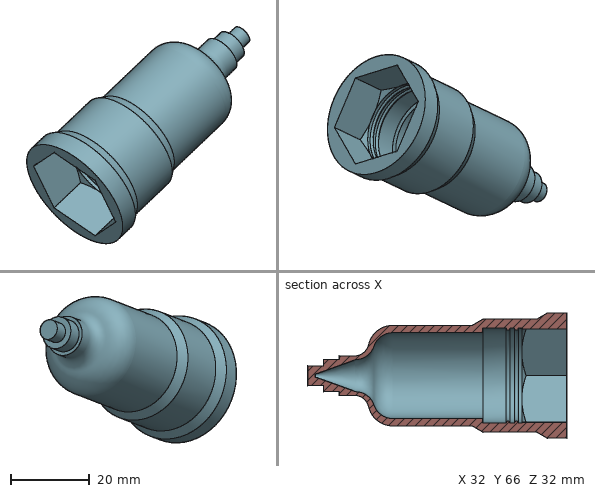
import cadquery as cq
import math


total_length = 66.0
flange_diameter = 32.0
flange_radius = flange_diameter / 2
flange_length = 5.0
collar_radius = 14.45
collar_start = 7.65
collar_end = 21.4
body_radius = 12.9
body_start = 24.1
shoulder_start = 44.3
shoulder_radius = 6.4
neck_fillet = 3.6
nose_radius = 5.1
nose_step = 4.0
middle_pin_radius = 4.15
end_pin_radius = 2.6

hex_across_flats = 23.7
hex_corner_radius = hex_across_flats / 2 / math.cos(math.pi / 6)
hex_corner_depth = 10.4
hex_end_slope = math.tan(math.radians(30))

bore_radius = 12.0
bore_end = collar_end
bead_radius = 0.495
bead_gap = 1.0
bead_pitch = 2.1
bead_count = 2

tip_wall = 2.0
cavity_radius = 10.9
cavity_arc_radius = 5.0
cone_radius = 4.0
tip_radius = 0.3
tip_depth = total_length - tip_wall


def turn_about_axis(profile):
    """Revolve a closed (radius, y) profile a full turn about the Y axis."""
    return profile.revolve(360, (0, 0, 0), (0, 1, 0))


def s_curve(start_y, start_radius, end_radius, bulge, hollow):
    """Convex arc then concave arc, tangent to each other and to two cylinders.

    Returns the mid point and end point of each arc as (radius, y) pairs.
    """
    convex_r = start_radius - bulge
    concave_r = end_radius + hollow
    offset = convex_r - concave_r
    rise = math.sqrt((bulge + hollow) ** 2 - offset**2)
    turn = math.atan2(rise, -offset)

    def convex_point(angle):
        return (convex_r + bulge * math.cos(angle), start_y + bulge * math.sin(angle))

    def concave_point(angle):
        return (concave_r - hollow * math.cos(angle), start_y + rise - hollow * math.sin(angle))

    return convex_point(turn / 2), convex_point(turn), concave_point(turn / 2), concave_point(0)


def make_shell():
    dome_mid, dome_end, neck_mid, neck_end = s_curve(
        shoulder_start, body_radius, nose_radius, shoulder_radius, neck_fillet
    )
    nose_end = total_length - 2 * nose_step
    middle_pin_end = total_length - nose_step
    profile = (
        cq.Workplane("XY")
        .moveTo(0, 0)
        .lineTo(flange_radius, 0)
        .lineTo(flange_radius, flange_length)
        .lineTo(collar_radius, collar_start)
        .lineTo(collar_radius, collar_end)
        .lineTo(body_radius, body_start)
        .lineTo(body_radius, shoulder_start)
        .threePointArc(dome_mid, dome_end)
        .threePointArc(neck_mid, neck_end)
        .lineTo(nose_radius, nose_end)
        .lineTo(middle_pin_radius, nose_end)
        .lineTo(middle_pin_radius, middle_pin_end)
        .lineTo(end_pin_radius, middle_pin_end)
        .lineTo(end_pin_radius, total_length)
        .lineTo(0, total_length)
        .close()
    )
    return turn_about_axis(profile)


def make_hex_mouth():
    """Hexagonal prism, corners along X, whose inner end is trimmed by a cone."""
    cone_height = hex_corner_radius * hex_end_slope
    prism = (
        cq.Workplane("XZ")
        .polygon(6, 2 * hex_corner_radius)
        .extrude(-(hex_corner_depth + cone_height))
    )
    envelope_profile = (
        cq.Workplane("XY")
        .moveTo(0, 0)
        .lineTo(hex_corner_radius, 0)
        .lineTo(hex_corner_radius, hex_corner_depth)
        .lineTo(0, hex_corner_depth + cone_height)
        .close()
    )
    return prism.intersect(turn_about_axis(envelope_profile))


def make_cavity():
    dome_mid, dome_end, neck_mid, neck_end = s_curve(
        shoulder_start, cavity_radius, cone_radius, cavity_arc_radius, cavity_arc_radius
    )
    hex_end = hex_corner_depth + (hex_corner_radius - bore_radius) * hex_end_slope
    profile = cq.Workplane("XY").moveTo(0, hex_end).lineTo(bore_radius, hex_end)
    for index in range(bead_count):
        bead_y = hex_end + bead_gap + bead_radius + index * bead_pitch
        profile = (
            profile.lineTo(bore_radius, bead_y - bead_radius)
            .threePointArc((bore_radius - bead_radius, bead_y), (bore_radius, bead_y + bead_radius))
        )
    profile = (
        profile.lineTo(bore_radius, bore_end)
        .lineTo(cavity_radius, bore_end)
        .lineTo(cavity_radius, shoulder_start)
        .threePointArc(dome_mid, dome_end)
        .threePointArc(neck_mid, neck_end)
        .lineTo(tip_radius, tip_depth)
        .lineTo(0, tip_depth)
        .close()
    )
    return turn_about_axis(profile)


result = make_shell().cut(make_hex_mouth()).cut(make_cavity())